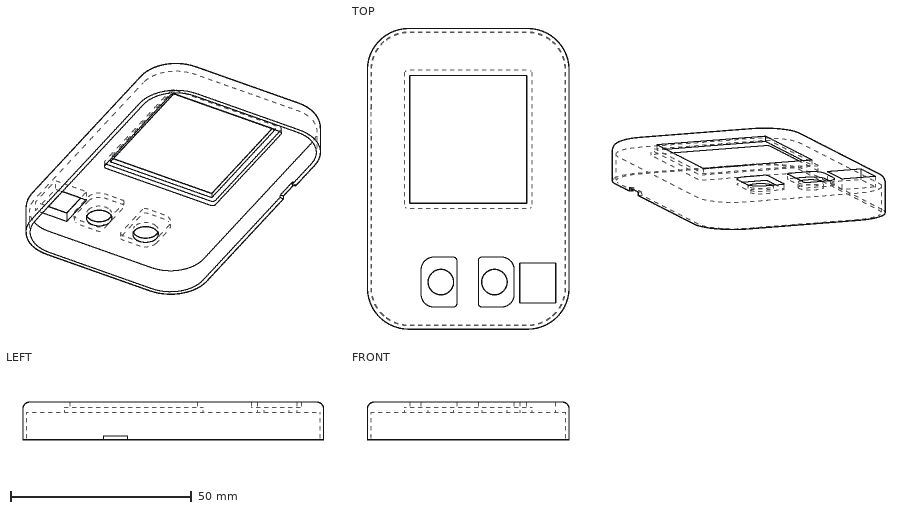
import cadquery as cq
import math

LENGTH = 83.5
WIDTH = 56.0
HEIGHT = 10.5
CORNER_RADIUS = 11.5
TOP_FILLET = 2.0

WALL = 1.0
FACE_THICKNESS = 3.0
LIP_HEIGHT = 1.0
LIP_INSET = 0.2

WINDOW_WIDTH = 32.4
WINDOW_LENGTH = 35.4
WINDOW_Y = 10.9
SCREEN_FACE_THICKNESS = 1.5
RECESS_MARGIN = 1.5
RECESS_CORNER_RADIUS = 1.0

BUTTONS_X = -0.2
BUTTONS_Y = -28.6
PAD_WIDTH = 9.9
PAD_LENGTH = 13.9
PAD_GAP = 5.9
PAD_DEPTH = 1.5
PAD_OUTER_RADIUS = 3.5
PAD_INNER_RADIUS = 1.0
BUTTON_DIAMETER = 7.0
BUTTON_OFFSET = 7.4

OPENING_WIDTH = 9.9
OPENING_LENGTH = 11.0
OPENING_X = 19.3
OPENING_Y = -28.9

NOTCH_LENGTH = 6.7
NOTCH_HEIGHT = 1.0
NOTCH_Y = 16.0

CAVITY_TOP = HEIGHT - FACE_THICKNESS


def box_between(width, length, x, y, bottom, top):
    """Upright box centred at (x, y), reaching from bottom to top."""
    box = cq.Workplane("XY").box(width, length, top - bottom, centered=(True, True, False))
    return box.translate((x, y, bottom))


def rounded_plan(inset, bottom, height):
    """Block following the body outline, moved inward by inset."""
    block = box_between(WIDTH - 2 * inset, LENGTH - 2 * inset, 0, 0, bottom, bottom + height)
    return block.edges("|Z").fillet(CORNER_RADIUS - inset)


def make_body():
    return rounded_plan(0, 0, HEIGHT).faces(">Z").edges().fillet(TOP_FILLET)


def make_cavity():
    """Hollow whose mouth narrows slightly toward the bottom edge."""
    upper = rounded_plan(WALL, LIP_HEIGHT, CAVITY_TOP - LIP_HEIGHT)
    lip_angle = math.degrees(math.atan(LIP_INSET / LIP_HEIGHT))
    mouth = upper.faces("<Z").wires().toPending().workplane().extrude(
        LIP_HEIGHT, combine=False, taper=lip_angle
    )
    return upper.union(mouth)


def make_screen_cut():
    window = box_between(WINDOW_WIDTH, WINDOW_LENGTH, 0, WINDOW_Y, CAVITY_TOP, HEIGHT)
    recess = box_between(
        WINDOW_WIDTH + 2 * RECESS_MARGIN,
        WINDOW_LENGTH + 2 * RECESS_MARGIN,
        0,
        WINDOW_Y,
        CAVITY_TOP,
        HEIGHT - SCREEN_FACE_THICKNESS,
    )
    return window.union(recess.edges("|Z").fillet(RECESS_CORNER_RADIUS))


def make_button_cut(side):
    """Recessed pad and button hole; side is -1 for the left and 1 for the right."""
    outer_edges, inner_edges = ("|Z and >X", "|Z and <X") if side > 0 else ("|Z and <X", "|Z and >X")
    pad_x = BUTTONS_X + side * (PAD_GAP + PAD_WIDTH) / 2
    pad = box_between(PAD_WIDTH, PAD_LENGTH, pad_x, BUTTONS_Y, HEIGHT - PAD_DEPTH, HEIGHT)
    pad = pad.edges(outer_edges).fillet(PAD_OUTER_RADIUS)
    pad = pad.edges(inner_edges).fillet(PAD_INNER_RADIUS)
    hole = cq.Workplane("XY").circle(BUTTON_DIAMETER / 2).extrude(HEIGHT)
    return pad.union(hole.translate((BUTTONS_X + side * BUTTON_OFFSET, BUTTONS_Y, 0)))


def make_opening():
    return box_between(OPENING_WIDTH, OPENING_LENGTH, OPENING_X, OPENING_Y, CAVITY_TOP, HEIGHT)


def make_notch():
    depth = 2 * (WALL + LIP_INSET)
    return box_between(depth, NOTCH_LENGTH, -WIDTH / 2, NOTCH_Y, 0, NOTCH_HEIGHT)


result = make_body().cut(make_cavity()).cut(make_screen_cut())
for button_side in (-1, 1):
    result = result.cut(make_button_cut(button_side))
result = result.cut(make_opening()).cut(make_notch())